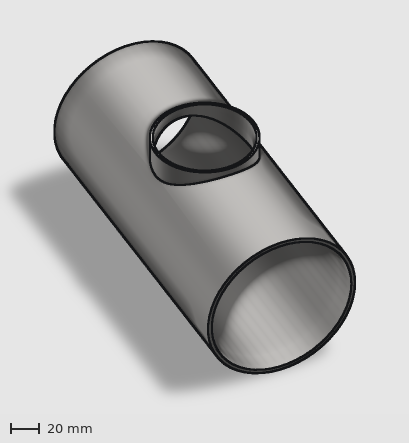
import cadquery as cq

pipe_length = 240.0
pipe_outer_diameter = 114.2
pipe_inner_diameter = 108.2

branch_outer_diameter = 76.3
branch_inner_diameter = 72.2
overall_height = 120.0
branch_top = overall_height - pipe_outer_diameter / 2


def pipe_cylinder(diameter):
    """Cylinder along X over the full pipe length."""
    return cq.Workplane("YZ").circle(diameter / 2).extrude(pipe_length / 2, both=True)


def branch_cylinder(diameter):
    """Cylinder along Z from the pipe axis up to the branch rim."""
    return cq.Workplane("XY").circle(diameter / 2).extrude(branch_top)


outer_body = pipe_cylinder(pipe_outer_diameter).union(branch_cylinder(branch_outer_diameter))

result = outer_body.cut(pipe_cylinder(pipe_inner_diameter)).cut(branch_cylinder(branch_inner_diameter))